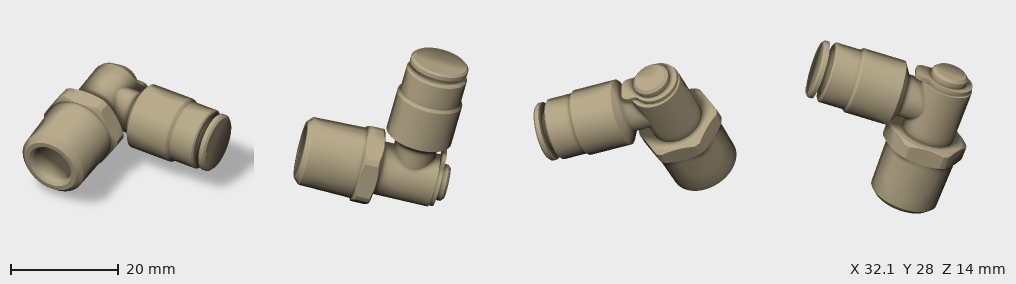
import cadquery as cq
import math


overall_length = 32.1
overall_height = 28.0

body_radius = 5.0
body_end = 4.97
cap_radius = 3.45
cap_end = 7.5
cap_chamfer = 0.5
neck_radius = 4.27
ring_start = 5.15
ring_end = 5.9
ring_radius = 4.4
ring_center_x = -0.4
tab_end = 6.3
tab_half_width = 2.4
tab_root_fillet = 1.12
tab_corner_radius = 1.38

hex_flats = 14.0
hex_corner_radius = 7.75
hex_face_radius = 6.9
hex_chamfer_depth = 0.48
hex_top = -6.0
hex_bottom = -9.47
thread_root_radius = 6.7
thread_tip_radius = 6.45
thread_chamfer = 1.0
thread_end = cap_end - overall_height

bore_radius = 4.0
bore_chamfer = 0.5
bore_depth = 10.9
pilot_radius = 1.03
pilot_depth = 1.28
drill_half_angle = math.radians(59)

branch_radius = 4.0
branch_fillet = 0.4
shoulder_start = 6.95
shoulder_end = 8.35
shoulder_fillet = 0.5
sleeve_radius = 6.23
sleeve_end = 16.45
socket_radius = 5.78
socket_start = 17.05
socket_end = 21.95
socket_chamfer = 0.3
groove_mouth_radius = 4.4
groove_radius = 3.6
groove_start = 22.5
groove_end = 22.8
collet_root_radius = 3.72
collet_start = 23.1
collet_radius = 5.52
collet_chamfer = 0.4
collet_end = 24.23

mark_end = overall_length - hex_corner_radius
mark_inner_radius = 4.62
mark_outer_radius = collet_radius - collet_chamfer
mark_width = 2.25


def revolve_y(points):
    """Turn a closed (radius, y) outline about the Y axis."""
    return cq.Workplane("XY").polyline(points).close().revolve(360, (0, 0, 0), (0, 1, 0))


def revolve_x(points):
    """Turn a closed (x, radius) outline about the X axis."""
    return cq.Workplane("XY").polyline(points).close().revolve(360, (0, 0, 0), (1, 0, 0))


def extrude_y(sketch, start, end):
    """Extrude a function's outline, drawn in X and Z, from y = start to y = end."""
    plane = cq.Workplane(cq.Plane((0, start, 0), (1, 0, 0), (0, 1, 0)))
    return sketch(plane).extrude(end - start)


def swivel_body():
    """Round body with the branch neck, blended where they meet."""
    body = revolve_y([(0, hex_top), (body_radius, hex_top), (body_radius, body_end), (0, body_end)])
    neck = revolve_x([(0, 0), (0, branch_radius), (shoulder_start, branch_radius), (shoulder_start, 0)])
    joint_x = math.sqrt(body_radius**2 - branch_radius**2)
    joint = cq.selectors.BoxSelector(
        (joint_x - branch_fillet, -branch_radius, -branch_radius),
        (body_radius + branch_fillet, branch_radius, branch_radius),
    )
    return body.union(neck).edges(joint).fillet(branch_fillet)


def end_cap():
    """Neck under the retaining ring and the chamfered cap above it."""
    return revolve_y([
        (0, body_end),
        (neck_radius, body_end),
        (neck_radius, ring_start),
        (cap_radius, ring_start),
        (cap_radius, cap_end - cap_chamfer),
        (cap_radius - cap_chamfer, cap_end),
        (0, cap_end),
    ])


def ring_outline(plane):
    """Round ring that blends into a round-cornered tab pointing along +X."""
    corner_x = tab_end - tab_corner_radius
    corner_z = tab_half_width - tab_corner_radius
    corner_mid = tab_corner_radius * math.sqrt(0.5)

    center_distance = ring_radius + tab_root_fillet
    fillet_z = tab_half_width + tab_root_fillet
    fillet_angle = math.asin(fillet_z / center_distance)
    fillet_x = ring_center_x + center_distance * math.cos(fillet_angle)
    touch_x = ring_center_x + ring_radius * math.cos(fillet_angle)
    touch_z = ring_radius * math.sin(fillet_angle)
    mid_angle = (fillet_angle + math.pi / 2) / 2
    mid_x = fillet_x - tab_root_fillet * math.cos(mid_angle)
    mid_z = fillet_z - tab_root_fillet * math.sin(mid_angle)

    return (
        plane.moveTo(touch_x, touch_z)
        .threePointArc((mid_x, mid_z), (fillet_x, tab_half_width))
        .lineTo(corner_x, tab_half_width)
        .threePointArc((corner_x + corner_mid, corner_z + corner_mid), (tab_end, corner_z))
        .lineTo(tab_end, -corner_z)
        .threePointArc((corner_x + corner_mid, -corner_z - corner_mid), (corner_x, -tab_half_width))
        .lineTo(fillet_x, -tab_half_width)
        .threePointArc((mid_x, -mid_z), (touch_x, -touch_z))
        .threePointArc((ring_center_x - ring_radius, 0), (touch_x, touch_z))
        .close()
    )


def hexagon():
    """Hexagon with corners on +X and -X, rounded and chamfered at both ends."""
    corner_diameter = hex_flats / math.cos(math.pi / 6)
    prism = extrude_y(lambda plane: plane.polygon(6, corner_diameter), hex_bottom, hex_top)
    envelope = revolve_y([
        (0, hex_bottom),
        (hex_face_radius, hex_bottom),
        (hex_corner_radius, hex_bottom + hex_chamfer_depth),
        (hex_corner_radius, hex_top - hex_chamfer_depth),
        (hex_face_radius, hex_top),
        (0, hex_top),
    ])
    return prism.intersect(envelope)


def thread():
    """Plain tapered thread blank with a chamfered tip."""
    return revolve_y([
        (0, hex_bottom),
        (thread_root_radius, hex_bottom),
        (thread_tip_radius, thread_end + thread_chamfer),
        (thread_tip_radius - thread_chamfer, thread_end),
        (0, thread_end),
    ])


def bore():
    """Chamfered blind bore with a drill-point bottom and a small pilot hole."""
    bore_bottom = thread_end + bore_depth
    cone_end = bore_bottom + (bore_radius - pilot_radius) / math.tan(drill_half_angle)
    pilot_end = cone_end + pilot_depth
    return revolve_y([
        (0, thread_end),
        (bore_radius + bore_chamfer, thread_end),
        (bore_radius, thread_end + bore_chamfer),
        (bore_radius, bore_bottom),
        (pilot_radius, cone_end),
        (pilot_radius, pilot_end),
        (0, pilot_end + pilot_radius / math.tan(drill_half_angle)),
    ])


def branch():
    """Sleeve, socket and release collet on the branch axis."""
    turned = revolve_x([
        (0, 0),
        (0, branch_radius),
        (shoulder_start, branch_radius),
        (shoulder_end, sleeve_radius),
        (sleeve_end, sleeve_radius),
        (socket_start, socket_radius),
        (socket_end - socket_chamfer, socket_radius),
        (socket_end, socket_radius - socket_chamfer),
        (socket_end, groove_mouth_radius),
        (groove_start, groove_radius),
        (groove_end, groove_radius),
        (collet_start, collet_root_radius),
        (collet_start, collet_radius),
        (collet_end - collet_chamfer, collet_radius),
        (collet_end, collet_radius - collet_chamfer),
        (collet_end, 0),
    ])
    shoulder_edge = cq.selectors.NearestToPointSelector((shoulder_start, 0, 0))
    return turned.edges(shoulder_edge).fillet(shoulder_fillet)


def collet_mark():
    """Low curved rib on the -Y side of the collet's end face."""
    rib = (
        cq.Workplane("YZ", origin=(collet_end, 0, 0))
        .circle(mark_outer_radius)
        .circle(mark_inner_radius)
        .extrude(mark_end - collet_end)
    )
    window = cq.Workplane("XY").box(
        mark_end, mark_outer_radius, mark_width, centered=(False, False, True)
    )
    return rib.intersect(window.translate((0, -mark_outer_radius, 0)))


result = (
    swivel_body()
    .union(end_cap())
    .union(extrude_y(ring_outline, ring_start, ring_end))
    .union(hexagon())
    .union(thread())
    .union(branch())
    .union(collet_mark())
    .cut(bore())
)